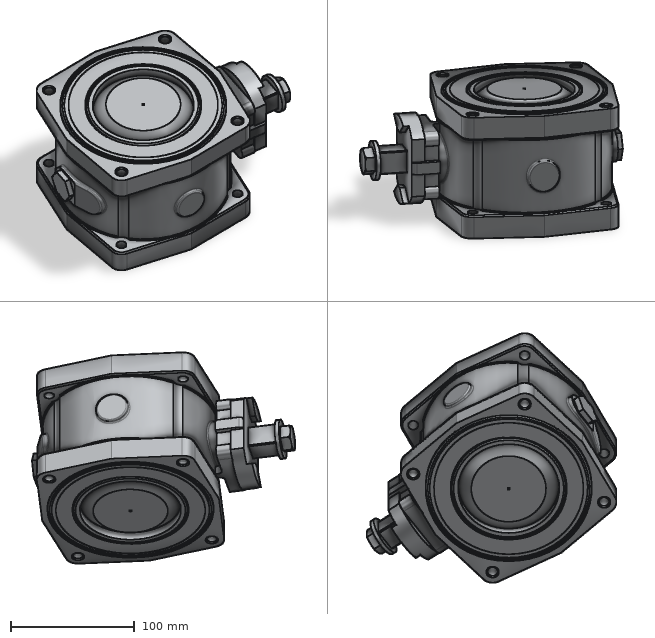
import cadquery as cq
import math

FLANGE_APEX = 72.98
FLANGE_SIDE_ANGLE = 7.9
FLANGE_CORNER_RADIUS = 10.2
FLANGE_INNER_Z = 31.7
FLANGE_OUTER_Z = 51.1
FLANGE_CHAMFER = 1.3
BOLT_OFFSET = 55.2
BOLT_HOLE_RADIUS = 4.0
BOLT_COUNTERSINK = 1.0

BARREL_RADIUS = 70.7
COLLAR_RADIUS = 71.5
COLLAR_HEIGHT = 1.0
BOLT_RELIEF_RADIUS = 8.7

FACE_Z = 51.6
FACE_RADIUS = 63.7
INSERT_RADIUS = 60.3
INSERT_Z = 51.8
SEAL_EDGE_RADIUS = 65.2
SEAL_EDGE_Z = 51.2
SEAL_BOTTOM_RADIUS = 67.0
SEAL_BOTTOM_Z = 48.9
SEAL_OUTER_RADIUS = 67.1
PORT_RADIUS = 40.8
GROOVE_INNER_RADIUS = 44.5
GROOVE_BOTTOM_RADIUS = 45.9
GROOVE_OUTER_RADIUS = 47.0
GROOVE_DEPTH = 1.0

BALL_FLAT_Z = 52.37
BALL_FLAT_RADIUS = 30.2
VENT_RADIUS = 0.8
VENT_DEPTH = 4.2
BALL_RADIUS = math.hypot(BALL_FLAT_RADIUS, BALL_FLAT_Z)

STEM_WIDTH = 19.0
STEM_CHAMFER = 0.8
WASHER_START_Y = 122.4
WASHER_END_Y = 125.8
WASHER_RADIUS = 16.0
BOLT_HEAD_END_Y = 133.8
BOLT_HEAD_FLATS = 19.5
BOLT_HEAD_CHAMFER = 1.0

SIDE_BOSS_RADIUS = 13.2
SIDE_BOSS_END = 72.98
SIDE_BOSS_ROOT = 64.4
BOSS_FILLET = 1.3

DRAIN_END = 78.6
DRAIN_FACE = 74.0
DRAIN_HALF_HEIGHT = 13.2
DRAIN_LEFT_X = -2.5
DRAIN_RIGHT_X = 25.0
DRAIN_SLOPE_START_X = 14.0
DRAIN_SLOPE = 0.39
DRAIN_SLOPE_FILLET = 1.5
DRAIN_PLUG_FLATS = 23.0

NECK_RADIUS = 21.0
ARM_START_Y = 76.7
PLATE_START_Y = 88.5
PLATE_END_Y = 99.5
LUG_END_Y = 104.0
PLATE_RADIUS = 36.8
PLATE_HALF_WIDTH = 27.8
LUG_HALF_WIDTH = 17.0
LUG_INNER_HALF_WIDTH = 4.0
LUG_INNER_Z = 23.4
ARM_RADIUS = 6.4
ARM_OFFSET = 22.0
SPACER_HALF_WIDTH = 26.1
TAB_HALF_WIDTH = 30.5
TAB_HALF_HEIGHT = 4.9
TAB_ROUNDING = 3.5
RIB_THICKNESS = 6.0
RIB_START_Y = 68.6
RIB_FLARE = 3.5

WALL_START = 53.1


def bar_along_y(profile, start, end):
    """Extrude a profile, drawn on a plane normal to Y, between two Y positions."""
    plane = cq.Plane(origin=(0, start, 0), xDir=(1, 0, 0), normal=(0, 1, 0))
    return profile(cq.Workplane(plane)).extrude(end - start)


def box_between(x, y, z):
    """Box spanning the (low, high) pairs in X, Y and Z."""
    size = (x[1] - x[0], y[1] - y[0], z[1] - z[0])
    return cq.Workplane().box(*size, centered=False).translate((x[0], y[0], z[0]))


def revolved(profile):
    """Revolve a closed (radius, Z) profile about the Z axis."""
    return cq.Workplane("XZ").polyline(profile).close().revolve(360, (0, 0), (0, 1))


def flange():
    """Upper flange: square with blunt pointed sides and rounded corners."""
    corner = FLANGE_APEX / (1 + math.tan(math.radians(FLANGE_SIDE_ANGLE)))
    middle_z = (FLANGE_INNER_Z + FLANGE_OUTER_Z) / 2
    outline = [
        (FLANGE_APEX, 0), (corner, corner), (0, FLANGE_APEX), (-corner, corner),
        (-FLANGE_APEX, 0), (-corner, -corner), (0, -FLANGE_APEX), (corner, -corner),
    ]
    plate = (
        cq.Workplane().workplane(offset=FLANGE_INNER_Z)
        .polyline(outline).close().extrude(FLANGE_OUTER_Z - FLANGE_INNER_Z)
    )
    for x in (-corner, corner):
        for y in (-corner, corner):
            corner_edge = cq.NearestToPointSelector((x, y, middle_z))
            plate = plate.edges(corner_edge).fillet(FLANGE_CORNER_RADIUS)
    return plate.faces("<Z").chamfer(FLANGE_CHAMFER)


def raised_insert():
    """Shallow stepped disc on the upper flange, inside the seal groove."""
    profile = [
        (0, FLANGE_INNER_Z), (INSERT_RADIUS, FLANGE_INNER_Z), (FACE_RADIUS, FLANGE_OUTER_Z),
        (FACE_RADIUS, FACE_Z), (INSERT_RADIUS, FACE_Z), (INSERT_RADIUS, INSERT_Z), (0, INSERT_Z),
    ]
    return revolved(profile)


def seal_groove():
    """Narrow groove around the raised insert, with its inner side in two slopes."""
    profile = [
        (FACE_RADIUS, FACE_Z), (SEAL_EDGE_RADIUS, SEAL_EDGE_Z), (SEAL_BOTTOM_RADIUS, SEAL_BOTTOM_Z),
        (SEAL_OUTER_RADIUS, SEAL_BOTTOM_Z), (SEAL_OUTER_RADIUS, FACE_Z),
    ]
    return revolved(profile)


def seat_groove():
    """Ring groove around the port, in the upper face."""
    bottom = INSERT_Z - GROOVE_DEPTH
    profile = [
        (GROOVE_INNER_RADIUS, INSERT_Z), (GROOVE_BOTTOM_RADIUS, bottom),
        (GROOVE_OUTER_RADIUS, bottom), (GROOVE_OUTER_RADIUS, INSERT_Z),
    ]
    return revolved(profile)


def barrel():
    """Round barrel with a collar at each flange and bolt reliefs in the four corners."""
    body = cq.Workplane().circle(BARREL_RADIUS).extrude(FLANGE_INNER_Z, both=True)
    collar = (
        cq.Workplane().workplane(offset=FLANGE_INNER_Z - COLLAR_HEIGHT)
        .circle(COLLAR_RADIUS).extrude(COLLAR_HEIGHT)
    )
    reliefs = (
        cq.Workplane().rect(2 * BOLT_OFFSET, 2 * BOLT_OFFSET, forConstruction=True).vertices()
        .circle(BOLT_RELIEF_RADIUS).extrude(FLANGE_INNER_Z, both=True)
    )
    return body.union(collar).union(collar.mirror("XY")).cut(reliefs)


def bolt_holes():
    """Four bolt holes through both flanges, countersunk at the outer faces."""
    mouth_radius = BOLT_HOLE_RADIUS + BOLT_COUNTERSINK
    half_profile = [
        (0, 0), (BOLT_HOLE_RADIUS, 0), (BOLT_HOLE_RADIUS, FLANGE_OUTER_Z - BOLT_COUNTERSINK),
        (mouth_radius, FLANGE_OUTER_Z), (0, FLANGE_OUTER_Z),
    ]
    upper_hole = revolved(half_profile)
    hole = upper_hole.union(upper_hole.mirror("XY"))
    holes = cq.Workplane()
    for x in (-BOLT_OFFSET, BOLT_OFFSET):
        for y in (-BOLT_OFFSET, BOLT_OFFSET):
            holes = holes.add(hole.translate((x, y, 0)))
    return holes.combine()


def side_bosses():
    """Round bosses on -X and +X with rounded rims."""
    boss = (
        cq.Workplane("YZ").workplane(offset=SIDE_BOSS_ROOT)
        .circle(SIDE_BOSS_RADIUS).extrude(SIDE_BOSS_END - SIDE_BOSS_ROOT)
        .faces(">X").edges().fillet(BOSS_FILLET)
    )
    return boss.union(boss.mirror("YZ"))


def drain_boss():
    """Long rounded boss on -Y whose face slopes back towards +X."""
    length = DRAIN_RIGHT_X - DRAIN_LEFT_X + 2 * DRAIN_HALF_HEIGHT
    middle = (DRAIN_LEFT_X + DRAIN_RIGHT_X) / 2
    end_x = middle + length / 2
    pad = bar_along_y(
        lambda plane: plane.center(middle, 0).slot2D(length, 2 * DRAIN_HALF_HEIGHT),
        -DRAIN_FACE, -WALL_START,
    )
    slope_back = DRAIN_SLOPE * (end_x - DRAIN_SLOPE_START_X)
    wedge = (
        cq.Workplane()
        .polyline([(DRAIN_SLOPE_START_X, -DRAIN_FACE), (end_x, -DRAIN_FACE), (end_x, slope_back - DRAIN_FACE)])
        .close().extrude(DRAIN_HALF_HEIGHT, both=True)
    )
    slope_rim = cq.selectors.BoxSelector((14.9, -73.3, -14.9), (36.1, -63.7, 14.9))
    return pad.cut(wedge).edges(slope_rim).edges("not |Y").fillet(DRAIN_SLOPE_FILLET)


def drain_plug():
    """Hexagonal plug head with corners along X."""
    corners = DRAIN_PLUG_FLATS / math.cos(math.pi / 6)
    return bar_along_y(lambda plane: plane.polygon(6, corners), -DRAIN_END, -DRAIN_FACE)


def mount_plate():
    """Round plate with two flat sides and two clutch lugs narrowing inwards."""
    disc = bar_along_y(lambda plane: plane.circle(PLATE_RADIUS), PLATE_START_Y, LUG_END_Y)
    heights = (-PLATE_RADIUS, PLATE_RADIUS)
    sides = (-PLATE_HALF_WIDTH, PLATE_HALF_WIDTH)
    plate = box_between(sides, (PLATE_START_Y, PLATE_END_Y), heights)
    corner_z = math.sqrt(PLATE_RADIUS**2 - LUG_HALF_WIDTH**2)
    lug_outline = [
        (-LUG_INNER_HALF_WIDTH, LUG_INNER_Z), (LUG_INNER_HALF_WIDTH, LUG_INNER_Z),
        (LUG_HALF_WIDTH, corner_z), (LUG_HALF_WIDTH, PLATE_RADIUS),
        (-LUG_HALF_WIDTH, PLATE_RADIUS), (-LUG_HALF_WIDTH, corner_z),
    ]
    lug = bar_along_y(lambda plane: plane.polyline(lug_outline).close(), PLATE_START_Y, LUG_END_Y)
    return disc.intersect(plate.union(lug).union(lug.mirror("XY")))


def mount_spacer():
    """Two round-ended arms, the block between them and the side tabs, under the plate."""
    sides = (-SPACER_HALF_WIDTH, SPACER_HALF_WIDTH)
    spacer = box_between(sides, (ARM_START_Y, PLATE_START_Y), (-ARM_OFFSET, ARM_OFFSET))
    arm_length = 2 * (ARM_OFFSET + ARM_RADIUS)
    for z in (-ARM_OFFSET, ARM_OFFSET):
        arm = bar_along_y(
            lambda plane: plane.center(0, z).slot2D(arm_length, 2 * ARM_RADIUS),
            ARM_START_Y, PLATE_START_Y,
        )
        spacer = spacer.union(arm)
    tabs = box_between(
        (-TAB_HALF_WIDTH, TAB_HALF_WIDTH), (ARM_START_Y, PLATE_END_Y), (-TAB_HALF_HEIGHT, TAB_HALF_HEIGHT)
    )
    return spacer.union(tabs.faces(">Y").edges("|Z").fillet(TAB_ROUNDING))


def mount_neck():
    """Round neck from the barrel to the spacer with a flared rib above and below."""
    neck = bar_along_y(lambda plane: plane.circle(NECK_RADIUS), WALL_START, ARM_START_Y)
    half = RIB_THICKNESS / 2
    flare_start = ARM_START_Y - RIB_FLARE
    rib = (
        cq.Workplane().moveTo(-half, RIB_START_Y).lineTo(half, RIB_START_Y)
        .lineTo(half, flare_start)
        .radiusArc((half + RIB_FLARE, ARM_START_Y), RIB_FLARE)
        .lineTo(-half - RIB_FLARE, ARM_START_Y)
        .radiusArc((-half, flare_start), RIB_FLARE)
        .close().extrude(ARM_OFFSET + ARM_RADIUS, both=True)
    )
    return neck.union(rib)


def filleted_body():
    """Barrel with its bosses and the mount neck, rounded where they leave the barrel."""
    body = barrel().union(side_bosses()).union(drain_boss()).union(mount_neck())
    feet = [
        ((-72.0, -2.1, -2.1), (-67.8, 2.1, 2.1)),
        ((67.8, -2.1, -2.1), (72.0, 2.1, 2.1)),
        ((-12.7, -70.1, -14.9), (34, -61.6, 14.9)),
        ((-14.9, 68, -2.1), (14.9, 70.1, 2.1)),
    ]
    for low, high in feet:
        body = body.edges(cq.selectors.BoxSelector(low, high)).fillet(BOSS_FILLET)
    return body


def make_housing():
    """Barrel, flanges, bosses and mount, hollowed for the ball and its stem."""
    end = flange().cut(seal_groove()).union(raised_insert()).cut(seat_groove())
    mount = mount_spacer().union(mount_plate())
    port = cq.Workplane().circle(PORT_RADIUS).extrude(BALL_FLAT_Z, both=True)
    return (
        filleted_body().union(drain_plug()).union(mount).union(end).union(end.mirror("XY"))
        .cut(bolt_holes()).cut(port)
        .cut(cq.Workplane().sphere(BALL_RADIUS))
        .cut(stem_shaft())
    )


def stem_shaft():
    """Square shaft with chamfered corners, from inside the ball to the washer."""
    shaft = bar_along_y(lambda plane: plane.rect(STEM_WIDTH, STEM_WIDTH), WALL_START, WASHER_START_Y)
    return shaft.edges("|Y").chamfer(STEM_CHAMFER)


def stem_bolt():
    """Washer and hexagonal bolt head on the end of the shaft."""
    corners = BOLT_HEAD_FLATS / math.cos(math.pi / 6)
    washer = bar_along_y(lambda plane: plane.circle(WASHER_RADIUS), WASHER_START_Y, WASHER_END_Y)
    head = bar_along_y(lambda plane: plane.polygon(6, corners), WASHER_END_Y, BOLT_HEAD_END_Y)
    head = head.rotate((0, 0, 0), (0, 1, 0), 90)
    rounding = bar_along_y(lambda plane: plane.circle(corners / 2), WASHER_END_Y, BOLT_HEAD_END_Y)
    return washer.union(head.intersect(rounding.faces(">Y").chamfer(BOLT_HEAD_CHAMFER)))


def make_ball():
    """Ball with flat top and bottom, vent holes in the flats, and the stem."""
    flats = cq.Workplane().circle(BALL_RADIUS).extrude(BALL_FLAT_Z, both=True)
    vent = (
        cq.Workplane().workplane(offset=BALL_FLAT_Z - VENT_DEPTH).circle(VENT_RADIUS).extrude(VENT_DEPTH)
    )
    ball = cq.Workplane().sphere(BALL_RADIUS).intersect(flats)
    return ball.cut(vent).cut(vent.mirror("XY")).union(stem_shaft()).union(stem_bolt())


housing = make_housing()
ball = make_ball()

result = cq.Compound.makeCompound([housing.val(), ball.val()])